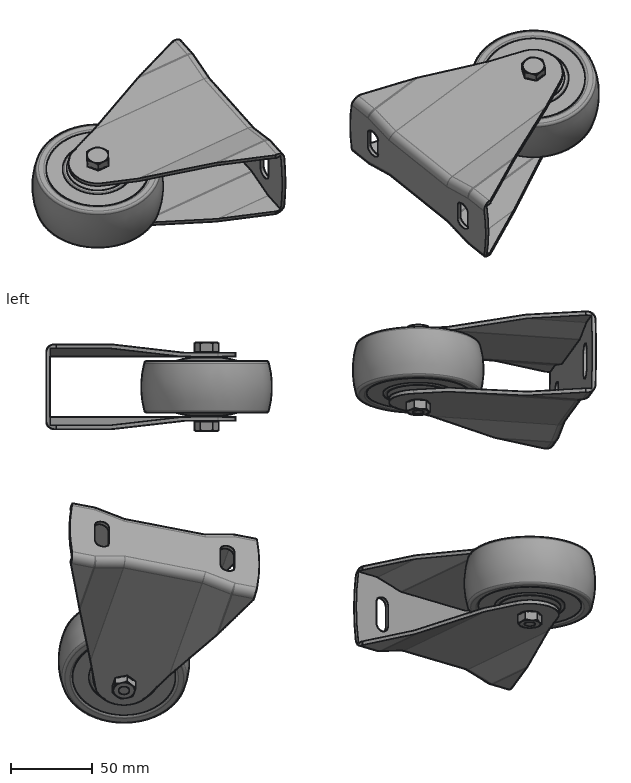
import cadquery as cq
import math


sheet = 2.5
back_y = 98.1
back_bend_radius = 5.1
middle_outer_z = 20.9
middle_half_width = 24.9
ear_outer_z = 26.0
ear_bend_x = 43.8
ear_end_x = 57.7
back_bulge_x = 59.8
side_straight_length = 6.1
tip_radius = 17.8
fork_hole_diameter = 8.5
slot_length = 22.4
slot_width = 9.0
slot_x = 39.6
middle_inner_z = middle_outer_z - sheet
ear_inner_z = ear_outer_z - sheet
taper_start_y = back_y - side_straight_length

tread_radius = 40.0
tread_edge_radius = 38.1
tread_edge_z = 14.5
rim_z = 15.9
rim_outer_radius = 36.3
rim_inner_radius = 33.2
rim_round = 1.7
tyre_bore_radius = rim_inner_radius - rim_round

web_z = 15.0
ring_radius = 21.5
ring_round = 1.0
ring_z = 15.7
dome_diameter = 38.0
dome_edge_z = 15.9
neck_diameter = 19.5
neck_base_z = 17.8
hub_bore_diameter = 8.2

shank_diameter = 8.0
thread_diameter = 6.6
collar_diameter = 12.5
collar_height = 0.4
hex_flats = 13.0
hex_top_z = 27.1
hex_chamfer_angle = 30.0

clear = 13.8


def cylinder(diameter, z_low, z_high):
    return cq.Workplane("XY", origin=(0, 0, z_low)).circle(diameter / 2).extrude(z_high - z_low)



bend_run = ear_bend_x - middle_half_width
bend_rise = ear_inner_z - middle_outer_z
bend_angle = math.atan2(bend_rise, bend_run) + math.asin(sheet / math.hypot(bend_run, bend_rise))


def bend_point(center, side, angle):
    """Point on a bend; side is +1 on the outer face and -1 on the inner face."""
    x, z = center
    return (x - side * sheet * math.sin(angle), z + side * sheet * math.cos(angle))


def mirrored_block(quarter_outline, y_front):
    """Extrude a quarter outline from its plane to y_front and mirror it across x = 0 and z = 0."""
    quarter = quarter_outline.close().extrude(quarter_outline.plane.origin.y - y_front)
    half = quarter.union(quarter.mirror("YZ"))
    return half.union(half.mirror("XY")).clean()


def fork_outside():
    ear_center = (ear_bend_x, ear_inner_z)
    bulge = back_bulge_x - ear_end_x
    bulge_radius = (ear_outer_z**2 + bulge**2) / (2 * bulge)
    mid_angle = math.asin(ear_outer_z / bulge_radius) / 2
    bulge_middle = (
        back_bulge_x - bulge_radius * (1 - math.cos(mid_angle)),
        bulge_radius * math.sin(mid_angle),
    )
    outline = (
        cq.Workplane("XZ", origin=(0, back_y, 0))
        .lineTo(0, middle_outer_z)
        .lineTo(middle_half_width, middle_outer_z)
        .lineTo(*bend_point(ear_center, 1, bend_angle))
        .threePointArc(bend_point(ear_center, 1, bend_angle / 2), (ear_bend_x, ear_outer_z))
        .lineTo(ear_end_x, ear_outer_z)
        .threePointArc(bulge_middle, (back_bulge_x, 0))
    )
    block = mirrored_block(outline, -tip_radius - clear)
    back_edges = block.faces(">Y").edges().vals()
    bent_edges = [edge for edge in back_edges if abs(edge.Center().x) < ear_end_x]
    return block.newObject(bent_edges).fillet(back_bend_radius)


def fork_inside():
    middle_center = (middle_half_width, middle_outer_z)
    side_x = back_bulge_x + clear
    outline = (
        cq.Workplane("XZ", origin=(0, back_y - sheet, 0))
        .lineTo(0, middle_inner_z)
        .lineTo(middle_half_width, middle_inner_z)
        .threePointArc(
            bend_point(middle_center, -1, bend_angle / 2),
            bend_point(middle_center, -1, bend_angle),
        )
        .lineTo(ear_bend_x, ear_inner_z)
        .lineTo(side_x, ear_inner_z)
        .lineTo(side_x, 0)
    )
    return mirrored_block(outline, -tip_radius - 2 * clear)


def fork_plan():
    """Prism with the tapered sides, tangent to the round tip about the wheel axis."""
    corner_distance = math.hypot(ear_end_x, taper_start_y)
    tangent_angle = math.atan2(taper_start_y, ear_end_x) - math.acos(tip_radius / corner_distance)
    tangent_x = tip_radius * math.cos(tangent_angle)
    tangent_y = tip_radius * math.sin(tangent_angle)
    side_x = back_bulge_x + clear
    half_height = ear_outer_z + clear
    return (
        cq.Workplane("XY", origin=(0, 0, -half_height))
        .moveTo(tangent_x, tangent_y)
        .lineTo(ear_end_x, taper_start_y)
        .lineTo(side_x, taper_start_y)
        .lineTo(side_x, back_y + clear)
        .lineTo(-side_x, back_y + clear)
        .lineTo(-side_x, taper_start_y)
        .lineTo(-ear_end_x, taper_start_y)
        .lineTo(-tangent_x, tangent_y)
        .threePointArc((0, -tip_radius), (tangent_x, tangent_y))
        .close()
        .extrude(2 * half_height)
    )


def make_fork():
    slots = (
        cq.Workplane("XZ", origin=(0, back_y, 0))
        .pushPoints([(-slot_x, 0), (slot_x, 0)])
        .slot2D(slot_length, slot_width, 90)
        .extrude(sheet)
    )
    axle_hole = cylinder(fork_hole_diameter, -ear_outer_z, ear_outer_z)
    bent_sheet = fork_outside().cut(fork_inside()).intersect(fork_plan())
    return bent_sheet.cut(slots).cut(axle_hole)



def revolved(outline):
    return outline.close().revolve(360, (0, 0, 0), (0, 1, 0))


def make_tyre():
    round_end_z = rim_z - rim_round
    diagonal = rim_round * math.sqrt(0.5)
    inner_middle_r = rim_inner_radius - diagonal
    inner_middle_z = round_end_z + diagonal
    edge_width = tread_edge_radius - rim_outer_radius
    edge_drop = rim_z - tread_edge_z
    edge_round = (edge_width**2 + edge_drop**2) / (2 * edge_drop)
    half_angle = math.atan2(edge_width, edge_round - edge_drop) / 2
    outer_middle_r = rim_outer_radius + edge_round * math.sin(half_angle)
    outer_middle_z = rim_z - edge_round * (1 - math.cos(half_angle))
    outline = (
        cq.Workplane("XZ")
        .moveTo(tyre_bore_radius, -round_end_z)
        .lineTo(tyre_bore_radius, round_end_z)
        .threePointArc((inner_middle_r, inner_middle_z), (rim_inner_radius, rim_z))
        .lineTo(rim_outer_radius, rim_z)
        .threePointArc((outer_middle_r, outer_middle_z), (tread_edge_radius, tread_edge_z))
        .threePointArc((tread_radius, 0), (tread_edge_radius, -tread_edge_z))
        .threePointArc((outer_middle_r, -outer_middle_z), (rim_outer_radius, -rim_z))
        .lineTo(rim_inner_radius, -rim_z)
        .threePointArc((inner_middle_r, -inner_middle_z), (tyre_bore_radius, -round_end_z))
    )
    return revolved(outline)


def make_hub():
    bore_radius = hub_bore_diameter / 2
    neck_radius = neck_diameter / 2
    dome_radius = dome_diameter / 2
    dome_rise = neck_base_z - dome_edge_z
    center_drop = (dome_radius**2 - neck_radius**2 - dome_rise**2) / (2 * dome_rise)
    sphere_radius = math.hypot(dome_radius, center_drop)
    dome_middle_r = (dome_radius + neck_radius) / 2
    dome_middle_z = dome_edge_z - center_drop + math.sqrt(sphere_radius**2 - dome_middle_r**2)
    ring_flat_radius = ring_radius - ring_round
    web_angle = math.asin((web_z - ring_z + ring_round) / ring_round)
    middle_angle = (web_angle + math.pi / 2) / 2

    def ring_round_point(angle):
        return (
            ring_flat_radius + ring_round * math.cos(angle),
            ring_z - ring_round + ring_round * math.sin(angle),
        )

    outline = (
        cq.Workplane("XZ")
        .moveTo(bore_radius, 0)
        .lineTo(bore_radius, middle_inner_z)
        .lineTo(neck_radius, middle_inner_z)
        .lineTo(neck_radius, neck_base_z)
        .threePointArc((dome_middle_r, dome_middle_z), (dome_radius, dome_edge_z))
        .lineTo(dome_radius, ring_z)
        .lineTo(ring_flat_radius, ring_z)
        .threePointArc(ring_round_point(middle_angle), ring_round_point(web_angle))
        .lineTo(tyre_bore_radius, web_z)
        .lineTo(tyre_bore_radius, 0)
    )
    upper_half = revolved(outline)
    return upper_half.union(upper_half.mirror("XY")).clean()



def hex_head():
    """Hexagon with a chamfered top, standing on a round collar on the fork's upper face."""
    hex_base_z = middle_outer_z + collar_height
    hex_height = hex_top_z - hex_base_z
    cone_base_radius = hex_flats / 2 + hex_height / math.tan(math.radians(hex_chamfer_angle))
    hexagon = (
        cq.Workplane("XY", origin=(0, 0, hex_base_z))
        .polygon(6, hex_flats, circumscribed=True)
        .extrude(hex_height)
    )
    chamfer_cone = (
        cq.Workplane("XY", origin=(0, 0, hex_base_z))
        .circle(cone_base_radius)
        .workplane(offset=hex_height)
        .circle(hex_flats / 2)
        .loft()
    )
    collar = cylinder(collar_diameter, middle_outer_z, hex_base_z)
    return hexagon.intersect(chamfer_cone).union(collar)


def make_bolt():
    shank = cylinder(shank_diameter, -middle_outer_z, middle_outer_z)
    thread = cylinder(thread_diameter, -hex_top_z, -middle_outer_z)
    return hex_head().union(shank).union(thread)


def make_nut():
    thread_hole = cylinder(thread_diameter, -hex_top_z, -middle_outer_z)
    return hex_head().mirror("XY").cut(thread_hole)


fork = make_fork()
tyre = make_tyre()
hub = make_hub()
bolt = make_bolt()
nut = make_nut()

result = cq.Compound.makeCompound([fork.val(), tyre.val(), hub.val(), bolt.val(), nut.val()])